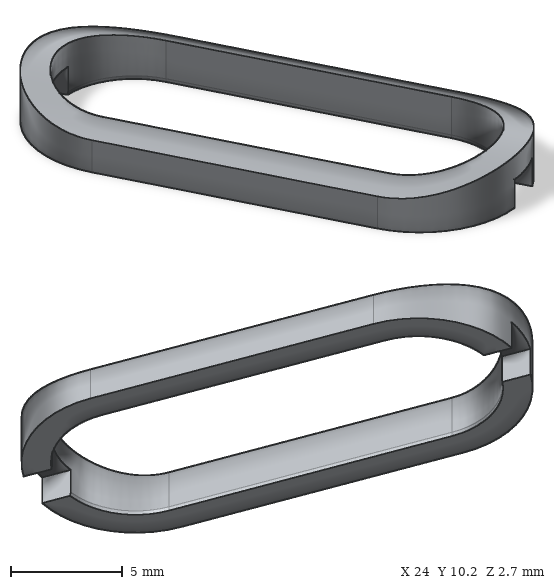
import cadquery as cq
import math

length = 23.95
width = 10.2
height = 2.7

wall = 1.35
side_height = 1.65

notch_width = 2.1
notch_height = 1.45

flare_angle = 10
flare_height = 0.2
flare_depth = flare_height * math.tan(math.radians(flare_angle))

crown_rise = height - side_height
crown_radius = ((width / 2) ** 2 + crown_rise**2) / (2 * crown_rise)


def make_ring():
    """Straight-walled racetrack ring at full height."""
    outer = cq.Workplane("XY").slot2D(length, width).extrude(height)
    opening = cq.Workplane("XY").slot2D(length - 2 * wall, width - 2 * wall).extrude(height)
    return outer.cut(opening)


def make_crown():
    """Cylinder along X whose upper surface forms the top of the ring."""
    return (
        cq.Workplane("YZ")
        .center(0, height - crown_radius)
        .circle(crown_radius)
        .extrude(length / 2, both=True)
    )


def make_notches():
    """One bar along X that opens a notch through the wall at each end."""
    return cq.Workplane("XY").box(length, notch_width, notch_height, centered=(True, True, False))


def make_flare():
    """Tapered plug that widens the opening towards the base."""
    return (
        cq.Workplane("XY")
        .slot2D(length - 2 * (wall - flare_depth), width - 2 * (wall - flare_depth))
        .extrude(flare_height, taper=flare_angle)
    )


result = make_ring().intersect(make_crown()).cut(make_notches()).cut(make_flare())